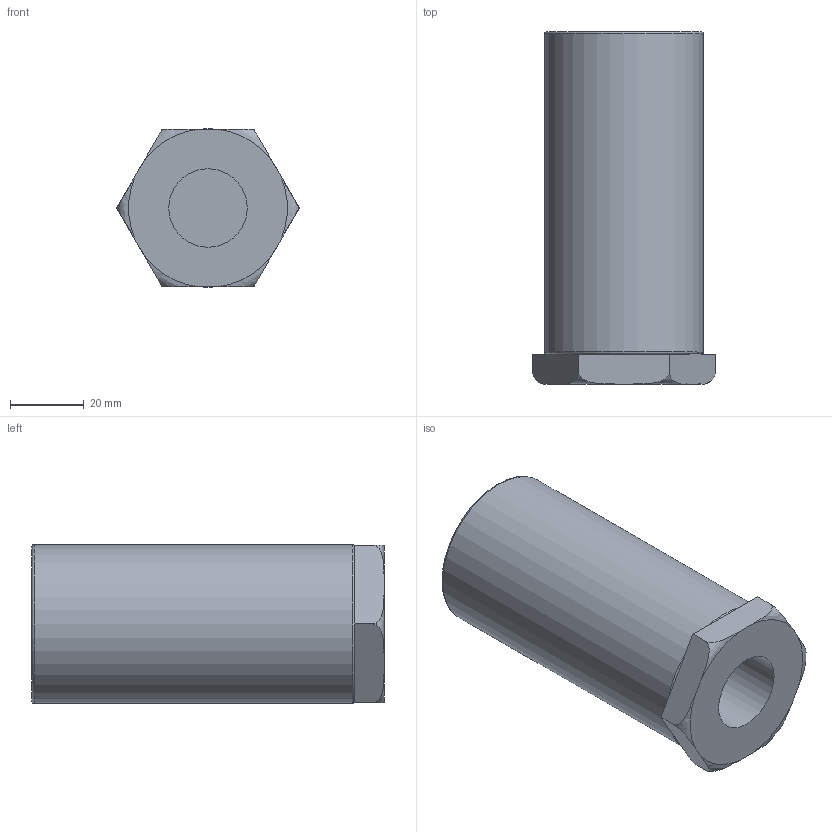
import cadquery as cq
import math

total_length = 95.76
body_diameter = 43.18
body_end_round = 0.6
hex_sides = 6
hex_across_corners = 49.57
hex_length = 8.13
bore_diameter = 21.34
bore_depth = 21.34

corner_radius = hex_across_corners / 2
face_radius = body_diameter / 2
corner_round = corner_radius - face_radius


def cylinder_along_y(diameter, start, length):
    """Round bar on the Y axis, running toward +Y from start."""
    return cq.Workplane("XZ", origin=(0, start, 0)).circle(diameter / 2).extrude(-length)


def make_hex_head():
    """Hexagonal head with two flats facing +/-Z and its outer corners rounded off."""
    prism = cq.Workplane("XZ").polygon(hex_sides, hex_across_corners).extrude(-hex_length)
    diagonal = corner_round * math.sqrt(0.5)
    rounded_envelope = (
        cq.Workplane("XY")
        .lineTo(face_radius, 0)
        .threePointArc(
            (face_radius + diagonal, corner_round - diagonal),
            (corner_radius, corner_round),
        )
        .lineTo(corner_radius, hex_length)
        .lineTo(0, hex_length)
        .close()
        .revolve(360, (0, 0, 0), (0, 1, 0))
    )
    return prism.intersect(rounded_envelope)


def make_body():
    """Cylindrical body behind the head, with both of its end edges rounded."""
    body = cylinder_along_y(body_diameter, hex_length, total_length - hex_length)
    return body.edges("%CIRCLE").fillet(body_end_round)


def make_bore():
    """Blind, flat-bottomed hole entering through the hex head."""
    return cylinder_along_y(bore_diameter, 0, bore_depth)


result = make_hex_head().union(make_body()).cut(make_bore())